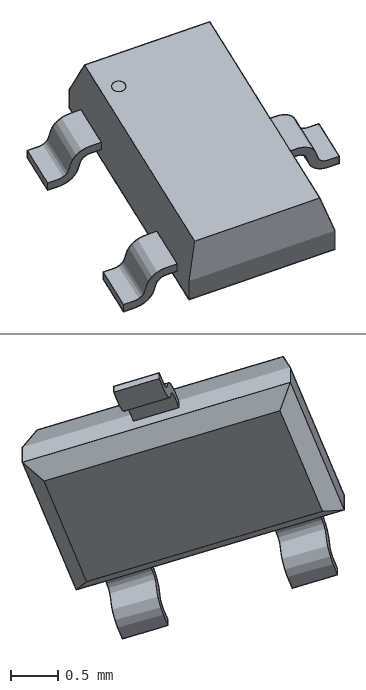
import cadquery as cq
import math


housing_length = 3.0
housing_width = 1.7
housing_height = 0.94
lower_taper_height = 0.195
upper_taper_height = 0.455
upper_draft_angle = 15.0
lower_taper_inset = 0.18
upper_taper_inset = upper_taper_height * math.tan(math.radians(upper_draft_angle))
upper_taper_start = housing_height - upper_taper_height

overall_width = 2.95
lead_width = 0.51
lead_pitch = 1.9
lead_thickness = 0.115
lead_top = 0.465
bend_inner_radius = 0.12
bend_angle = math.radians(75.0)
lead_reach = (overall_width - housing_width) / 2

marker_diameter = 0.15
marker_depth = 0.02
marker_x = -lead_pitch / 2
marker_y = -0.53


def make_taper(start_z, start_inset, height, end_inset):
    """Four-sided block whose rectangular ends are inset from the housing's full outline."""
    return (
        cq.Workplane("XY", origin=(0, 0, start_z))
        .rect(housing_length - 2 * start_inset, housing_width - 2 * start_inset)
        .workplane(offset=height)
        .rect(housing_length - 2 * end_inset, housing_width - 2 * end_inset)
        .loft(ruled=True, combine=True)
    )


def make_marker():
    return (
        cq.Workplane("XY", origin=(marker_x, marker_y, housing_height - marker_depth))
        .circle(marker_diameter / 2)
        .extrude(marker_depth)
    )


def make_housing():
    """Straight band between two tapers, with a recess for the marker."""
    lower_taper = make_taper(0, lower_taper_inset, lower_taper_height, 0)
    band_height = upper_taper_start - lower_taper_height
    band = make_taper(lower_taper_height, 0, band_height, 0)
    upper_taper = make_taper(upper_taper_start, 0, upper_taper_height, upper_taper_inset)
    return lower_taper.union(band).union(upper_taper).cut(make_marker())


def make_lead(x, side):
    """S-shaped strip from the housing's side face down to Z = 0; side is -1 for -Y, +1 for +Y."""
    bend_radius = bend_inner_radius + lead_thickness / 2
    shoulder_z = lead_top - lead_thickness / 2
    foot_z = lead_thickness / 2
    bend_run = bend_radius * math.sin(bend_angle)
    bend_drop = bend_radius * (1 - math.cos(bend_angle))
    leg_drop = shoulder_z - foot_z - 2 * bend_drop
    leg_run = leg_drop / math.tan(bend_angle)
    flat_length = (lead_reach - 2 * bend_run - leg_run) / 2

    mid_run = bend_radius * math.sin(bend_angle / 2)
    mid_drop = bend_radius * (1 - math.cos(bend_angle / 2))

    root_y = housing_width / 2
    tip_y = root_y + lead_reach
    upper_bend_y = root_y + flat_length
    lower_bend_y = tip_y - flat_length

    def place(y, z):
        return (side * y, z)

    centre_line = (
        cq.Workplane("YZ", origin=(x - lead_width / 2, 0, 0))
        .moveTo(*place(root_y, shoulder_z))
        .lineTo(*place(upper_bend_y, shoulder_z))
        .threePointArc(
            place(upper_bend_y + mid_run, shoulder_z - mid_drop),
            place(upper_bend_y + bend_run, shoulder_z - bend_drop),
        )
        .lineTo(*place(lower_bend_y - bend_run, foot_z + bend_drop))
        .threePointArc(
            place(lower_bend_y - mid_run, foot_z + mid_drop),
            place(lower_bend_y, foot_z),
        )
        .lineTo(*place(tip_y, foot_z))
    )
    strip = centre_line.offset2D(lead_thickness / 2).extrude(lead_width)
    trim = cq.Workplane("XY").box(lead_width, lead_reach, lead_top, centered=(True, True, False))
    return strip.intersect(trim.translate((x, side * (root_y + lead_reach / 2), 0)))


housing = make_housing()
marker = make_marker()

lead_places = [(-lead_pitch / 2, -1), (lead_pitch / 2, -1), (0, 1)]
leads = [make_lead(x, side) for x, side in lead_places]

result = cq.Compound.makeCompound([housing.val(), marker.val(), *[lead.val() for lead in leads]])